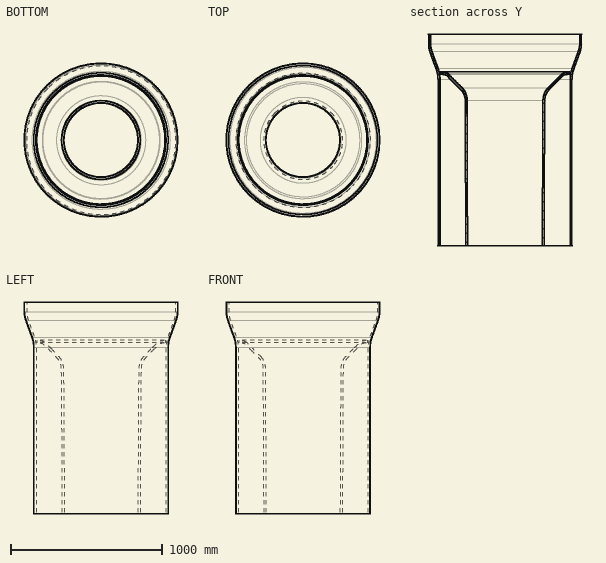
import cadquery as cq
import math

height = 1400.0
wall = 15.0

collar_radius = 1016.0 / 2
pipe_radius = 890.0 / 2
collar_height = 62.0
collar_bend_radius = 164.0
pipe_bend_radius = 199.0
flare_angle = 20.0

rim_radius = 425.0
rim_depth = 249.0
rim_slope = 11.0
cone_angle = 45.0
cone_start_radius = 375.0
rim_bend_radius = 24.0
throat_radius = 500.0 / 2
outlet_radius = 245.0
throat_bend_radius = 118.0


def on_circle(center, radius, angle):
    """Point on a circle, with the angle in degrees from the outward radial direction."""
    a = math.radians(angle)
    return center[0] + radius * math.cos(a), center[1] + radius * math.sin(a)


def bend(center, radius, start, end):
    """Start, middle and end points of an arc."""
    return [on_circle(center, radius, a) for a in (start, (start + end) / 2, end)]


def revolve_wall(top_outer, bends_outer, bottom_outer, top_inner, bends_inner, bottom_inner):
    """Revolve a wall bounded by two lines with two bends each."""
    profile = cq.Workplane("XZ").moveTo(*top_outer)
    for start, middle, end in bends_outer:
        profile = profile.lineTo(*start).threePointArc(middle, end)
    profile = profile.lineTo(*bottom_outer).lineTo(*bottom_inner)
    for start, middle, end in reversed(bends_inner):
        profile = profile.lineTo(*end).threePointArc(middle, start)
    return profile.lineTo(*top_inner).close().revolve(360, (0, 0), (0, 1))


def make_housing():
    angle = math.radians(flare_angle)
    bend_radii = collar_bend_radius + pipe_bend_radius
    flare_step = collar_radius - pipe_radius - bend_radii * (1 - math.cos(angle))
    flare_height = flare_step / math.tan(angle) + bend_radii * math.sin(angle)
    collar_center = (collar_radius - collar_bend_radius, height - collar_height)
    pipe_center = (pipe_radius + pipe_bend_radius, collar_center[1] - flare_height)

    def surface_bends(inset):
        return [
            bend(collar_center, collar_bend_radius - inset, 0, -flare_angle),
            bend(pipe_center, pipe_bend_radius + inset, 180 - flare_angle, 180),
        ]

    return revolve_wall(
        (collar_radius, height), surface_bends(0), (pipe_radius, 0),
        (collar_radius - wall, height), surface_bends(wall), (pipe_radius - wall, 0),
    )


def make_funnel():
    slope = math.radians(rim_slope)
    steep = math.radians(cone_angle)
    rim_top = height - rim_depth
    rim_center_radius = cone_start_radius + rim_bend_radius * math.sin(steep)
    rim_bend_start = rim_center_radius - rim_bend_radius * math.sin(slope)
    rim_bend_top = rim_top - (rim_radius - rim_bend_start) * math.tan(slope)
    rim_center = (rim_center_radius, rim_bend_top - rim_bend_radius * math.cos(slope))

    throat_center_radius = throat_radius + throat_bend_radius
    cone_end_radius = throat_center_radius - throat_bend_radius * math.sin(steep)
    cone_top = rim_center[1] + rim_bend_radius * math.cos(steep)
    cone_bottom = cone_top - (cone_start_radius - cone_end_radius) * math.tan(steep)
    throat_center = (throat_center_radius, cone_bottom - throat_bend_radius * math.cos(steep))

    def surface_bends(inset):
        return [
            bend(rim_center, rim_bend_radius - inset, 90 + rim_slope, 90 + cone_angle),
            bend(throat_center, throat_bend_radius - inset, 90 + cone_angle, 180),
        ]

    rim_bottom = rim_top - wall / math.cos(slope)
    return revolve_wall(
        (rim_radius, rim_top), surface_bends(0), (outlet_radius, 0),
        (rim_radius, rim_bottom), surface_bends(wall), (outlet_radius + wall, 0),
    )


housing = make_housing()
funnel = make_funnel()

result = cq.Compound.makeCompound([housing.val(), funnel.val()])